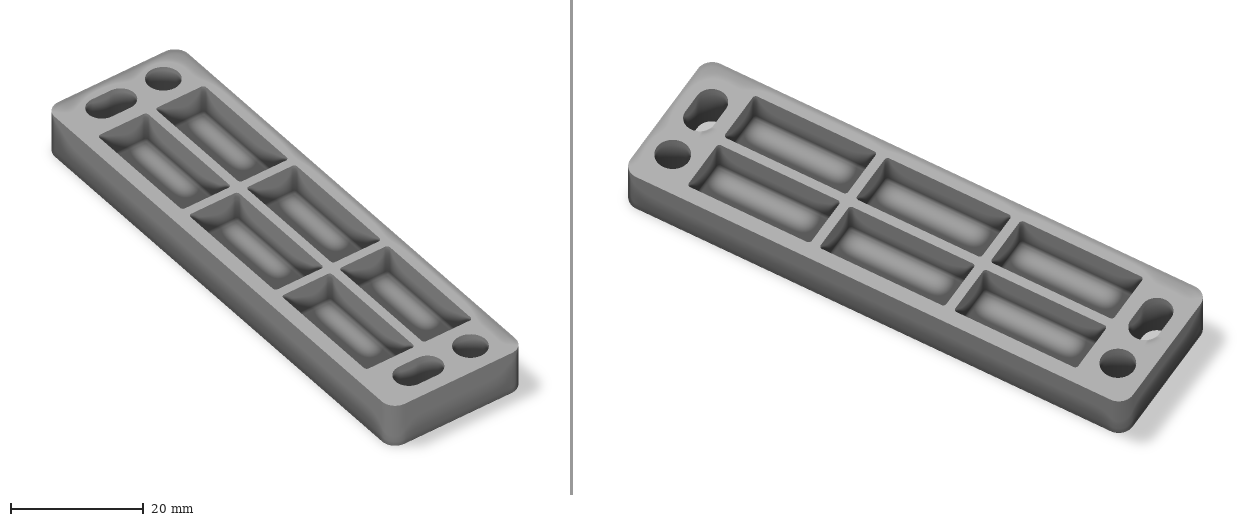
import cadquery as cq

LENGTH = 88.0
WIDTH = 25.0
HEIGHT = 8.0
CORNER_RADIUS = 2.5
BOTTOM_EDGE_RADIUS = 0.3

POCKET_FIELD_LENGTH = 68.2
POCKET_FIELD_WIDTH = 20.0
RIB = 1.6
MIDDLE_POCKET_LENGTH = 22.0
POCKET_DEPTH = 5.5
POCKET_CORNER_RADIUS = 0.5
POCKET_FLOOR_RADIUS = 0.5

HOLE_X = 39.0
HOLE_Y = 6.0
HOLE_DIAMETER = 5.5
SLOT_Y = -3.8
SLOT_WIDTH = 5.0
SLOT_LENGTH = 8.5

end_pocket_length = (POCKET_FIELD_LENGTH - MIDDLE_POCKET_LENGTH) / 2 - RIB
end_pocket_x = (POCKET_FIELD_LENGTH - end_pocket_length) / 2
pocket_width = (POCKET_FIELD_WIDTH - RIB) / 2
pocket_y = (pocket_width + RIB) / 2


def make_block():
    """Rounded bar standing on Z = 0, with a rounded bottom edge."""
    block = cq.Workplane("XY").box(LENGTH, WIDTH, HEIGHT, centered=(True, True, False))
    block = block.edges("|Z").fillet(CORNER_RADIUS)
    return block.faces("<Z").edges().fillet(BOTTOM_EDGE_RADIUS)


def make_pocket(x, y, length):
    """Cutter for one pocket, with rounded corners and floor edge."""
    pocket = cq.Workplane("XY").box(length, pocket_width, POCKET_DEPTH, centered=(True, True, False))
    pocket = pocket.edges("|Z").fillet(POCKET_CORNER_RADIUS)
    pocket = pocket.faces("<Z").edges().fillet(POCKET_FLOOR_RADIUS)
    return pocket.translate((x, y, HEIGHT - POCKET_DEPTH))


def cut_pockets(body):
    """Cut two rows of three pockets, separated by equal ribs."""
    columns = [
        (-end_pocket_x, end_pocket_length),
        (0, MIDDLE_POCKET_LENGTH),
        (end_pocket_x, end_pocket_length),
    ]
    for column_x, column_length in columns:
        for row_y in (-pocket_y, pocket_y):
            body = body.cut(make_pocket(column_x, row_y, column_length))
    return body


def cut_mounting_holes(body):
    """Cut a round hole and a slot along Y right through each end."""
    hole_places = [(-HOLE_X, HOLE_Y), (HOLE_X, HOLE_Y)]
    slot_places = [(-HOLE_X, SLOT_Y), (HOLE_X, SLOT_Y)]
    base = cq.Workplane("XY")
    holes = base.pushPoints(hole_places).circle(HOLE_DIAMETER / 2).extrude(HEIGHT)
    slots = base.pushPoints(slot_places).slot2D(SLOT_LENGTH, SLOT_WIDTH, angle=90).extrude(HEIGHT)
    return body.cut(holes).cut(slots)


result = cut_mounting_holes(cut_pockets(make_block()))